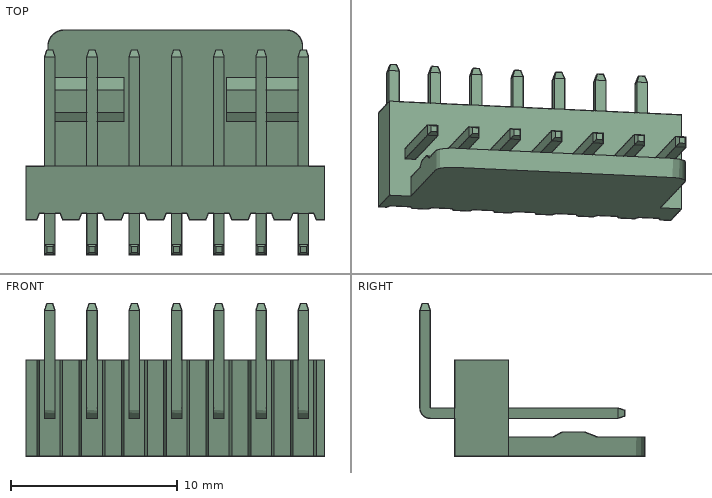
import cadquery as cq


pin_count = 7
pitch = 2.54
pin_size = 0.64
tip_size = 0.36
tip_length = 0.42
pin_row_shift = 0.08
pin_axis_z = 2.6
pin_top_z = 9.2
pin_rear_reach = 12.32

body_width = 17.94
body_depth = 3.24
body_height = 5.8
body_front_y = 2.1

groove_mouth = 1.56
groove_floor = 1.24
groove_depth = 0.4

overall_depth = 13.52
plate_width = 15.32
plate_thickness = 1.18
plate_corner_radius = 1.0

ramp_height = 0.3
ramp_rear_start = 2.85
ramp_rear_crest = 3.62
ramp_front_crest = 4.95
ramp_front_end = 5.5
ramp_gap = 6.14

body_back_y = body_front_y + body_depth
first_pin_x = pin_row_shift - pitch * (pin_count - 1) / 2
pin_positions = [first_pin_x + pitch * i for i in range(pin_count)]


def make_body():
    """Rectangular housing with a tapered full-height groove at every pin."""
    body = cq.Workplane("XY").box(body_width, body_depth, body_height, centered=(True, False, False))
    body = body.translate((0, body_front_y, 0))
    for x in pin_positions:
        groove = (
            cq.Workplane("XY")
            .moveTo(x - groove_mouth / 2, body_front_y)
            .lineTo(x - groove_floor / 2, body_front_y + groove_depth)
            .lineTo(x + groove_floor / 2, body_front_y + groove_depth)
            .lineTo(x + groove_mouth / 2, body_front_y)
            .close()
            .extrude(body_height)
        )
        body = body.cut(groove)
    return body


def make_plate():
    """Latch plate with its two rear corners rounded."""
    plate_depth = overall_depth - body_back_y
    return (
        cq.Workplane("XY")
        .box(plate_width, plate_depth, plate_thickness, centered=(True, False, False))
        .translate((0, body_back_y, 0))
        .edges("|Z and >Y")
        .fillet(plate_corner_radius)
    )


def make_ramp(start_x):
    """Trapezoidal ramp on the plate, extending in +X from start_x."""
    ramp_width = (plate_width - ramp_gap) / 2
    crest_z = plate_thickness + ramp_height
    return (
        cq.Workplane("YZ", origin=(start_x, 0, 0))
        .moveTo(overall_depth - ramp_rear_start, plate_thickness)
        .lineTo(overall_depth - ramp_rear_crest, crest_z)
        .lineTo(overall_depth - ramp_front_crest, crest_z)
        .lineTo(overall_depth - ramp_front_end, plate_thickness)
        .close()
        .extrude(ramp_width)
    )


def make_tip(base):
    """Tapered square tip standing on the given base plane."""
    return (
        cq.Workplane(base)
        .rect(pin_size, pin_size)
        .workplane(offset=tip_length)
        .rect(tip_size, tip_size)
        .loft(combine=True)
    )


def make_pin(x):
    """L-shaped square pin, rounded outside the bend and sharp inside it."""
    bottom_z = pin_axis_z - pin_size / 2
    shoulder_y = pin_rear_reach - tip_length
    shoulder_z = pin_top_z - tip_length
    shank = (
        cq.Workplane("YZ", origin=(x - pin_size / 2, 0, 0))
        .moveTo(shoulder_y, bottom_z)
        .lineTo(pin_size, bottom_z)
        .radiusArc((0, bottom_z + pin_size), pin_size)
        .lineTo(0, shoulder_z)
        .lineTo(pin_size, shoulder_z)
        .lineTo(pin_size, bottom_z + pin_size)
        .lineTo(shoulder_y, bottom_z + pin_size)
        .close()
        .extrude(pin_size)
    )
    top_base = cq.Plane(origin=(x, pin_size / 2, shoulder_z), xDir=(1, 0, 0), normal=(0, 0, 1))
    rear_base = cq.Plane(origin=(x, shoulder_y, pin_axis_z), xDir=(1, 0, 0), normal=(0, 1, 0))
    return shank.union(make_tip(top_base)).union(make_tip(rear_base))


result = make_body().union(make_plate())
for ramp_start_x in (-plate_width / 2, ramp_gap / 2):
    result = result.union(make_ramp(ramp_start_x))
for pin_x in pin_positions:
    result = result.union(make_pin(pin_x))